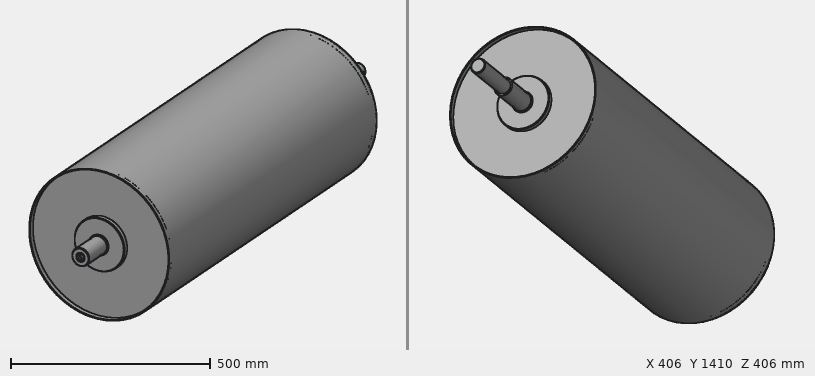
import cadquery as cq
import math

TOTAL_LENGTH = 1410.0

SHELL_DIAMETER = 406.0
SHELL_BORE = 400.0
SHELL_LENGTH = 1050.0
END_RECESS = 15.0

HUB_DIAMETER = 145.0
HUB_HEIGHT = END_RECESS
HUB_CHAMFER = 2.0

COLLAR_DIAMETER = 55.0
COLLAR_PROJECTION = 5.0

JOURNAL_DIAMETER = 50.0
FRONT_STUB_LENGTH = 95.0
FRONT_CHAMFER = 2.0

DRIVE_DIAMETER = 40.0
DRIVE_LENGTH = 150.0
REAR_CHAMFER = 2.0

KEYWAY_WIDTH = 12.0
KEYWAY_LENGTH = 120.0
KEYWAY_DEPTH = 5.0
KEYWAY_END_MARGIN = 10.0

THREAD_HOLE_DIAMETER = 13.84
THREAD_HOLE_DEPTH = 42.0
DRILL_TIP_ANGLE = 118.0
PILOT_DIAMETER = 17.0
PILOT_DEPTH = 12.0
COUNTERSINK_DIAMETER = 25.0
COUNTERSINK_ANGLE = 120.0

REAR_RIM = SHELL_LENGTH / 2
FRONT_RIM = -REAR_RIM
FRONT_END = FRONT_RIM - FRONT_STUB_LENGTH
REAR_END = FRONT_END + TOTAL_LENGTH
DRIVE_SHOULDER = REAR_END - DRIVE_LENGTH
FRONT_PLATE = FRONT_RIM + END_RECESS
REAR_PLATE = REAR_RIM - END_RECESS


def round_bar(diameter, y_start, y_end):
    """Solid cylinder on the roller axis between two Y stations."""
    plane = cq.Plane(origin=(0, y_start, 0), xDir=(1, 0, 0), normal=(0, 1, 0))
    return cq.Workplane(plane).circle(diameter / 2).extrude(y_end - y_start)


def make_drum():
    """Drum with a recessed end plate and a chamfered hub at each end."""
    drum = round_bar(SHELL_DIAMETER, FRONT_RIM, REAR_RIM)
    drum = drum.cut(round_bar(SHELL_BORE, FRONT_RIM, FRONT_PLATE))
    drum = drum.cut(round_bar(SHELL_BORE, REAR_PLATE, REAR_RIM))
    hub = round_bar(HUB_DIAMETER, FRONT_PLATE - HUB_HEIGHT, REAR_PLATE + HUB_HEIGHT)
    return drum.union(hub.faces("<Y or >Y").edges().chamfer(HUB_CHAMFER))


def make_shaft():
    """Stepped shaft running through the drum."""
    collar = round_bar(COLLAR_DIAMETER, FRONT_RIM - COLLAR_PROJECTION, REAR_RIM + COLLAR_PROJECTION)
    journal = round_bar(JOURNAL_DIAMETER, FRONT_END, DRIVE_SHOULDER)
    journal = journal.faces("<Y").edges().chamfer(FRONT_CHAMFER)
    drive = round_bar(DRIVE_DIAMETER, DRIVE_SHOULDER, REAR_END)
    drive = drive.faces(">Y").edges().chamfer(REAR_CHAMFER)
    return collar.union(journal).union(drive)


def make_keyway():
    """Round-ended keyway cutter on the +X side of the drive end."""
    floor_x = DRIVE_DIAMETER / 2 - KEYWAY_DEPTH
    centre_y = REAR_END - KEYWAY_END_MARGIN - KEYWAY_LENGTH / 2
    plane = cq.Plane(origin=(floor_x, centre_y, 0), xDir=(0, 1, 0), normal=(1, 0, 0))
    return cq.Workplane(plane).slot2D(KEYWAY_LENGTH, KEYWAY_WIDTH).extrude(DRIVE_DIAMETER)


def make_centre_hole():
    """Threaded centre hole in the -Y end: countersink, relief, tapping hole and drill tip."""
    hole_radius = THREAD_HOLE_DIAMETER / 2
    pilot_radius = PILOT_DIAMETER / 2
    mouth_radius = COUNTERSINK_DIAMETER / 2
    countersink_depth = (mouth_radius - pilot_radius) / math.tan(math.radians(COUNTERSINK_ANGLE / 2))
    tip_length = hole_radius / math.tan(math.radians(DRILL_TIP_ANGLE / 2))
    profile = cq.Workplane("XY", origin=(0, FRONT_END, 0)).polyline([
        (0, 0),
        (mouth_radius, 0),
        (pilot_radius, countersink_depth),
        (pilot_radius, PILOT_DEPTH),
        (hole_radius, PILOT_DEPTH),
        (hole_radius, THREAD_HOLE_DEPTH),
        (0, THREAD_HOLE_DEPTH + tip_length),
    ]).close()
    return profile.revolve(360, (0, 0, 0), (0, 1, 0))


result = make_drum().union(make_shaft()).cut(make_keyway()).cut(make_centre_hole())